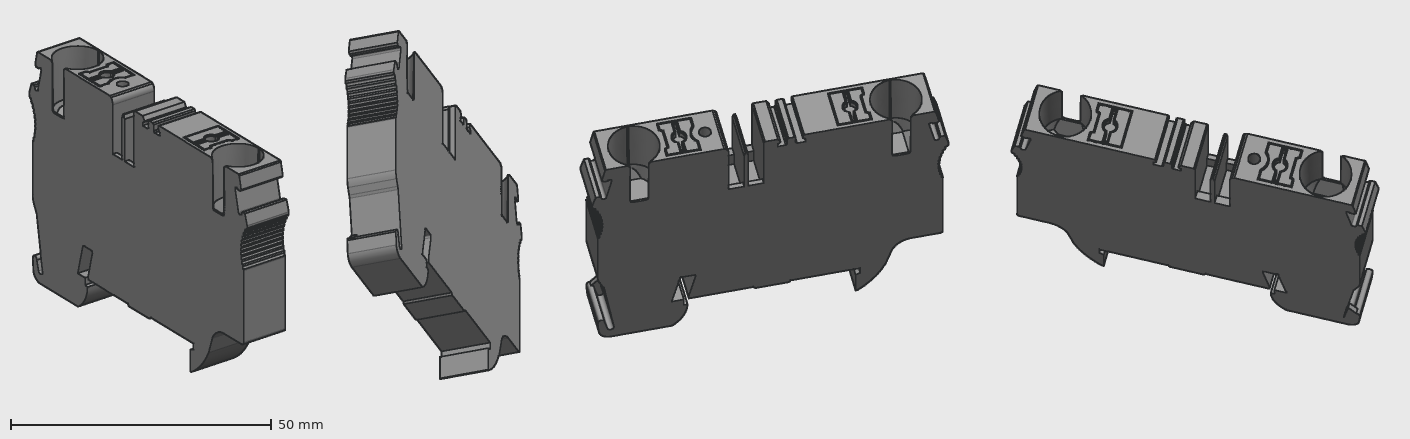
import cadquery as cq
import math


length = 70.25
thickness = 10.0
height = 49.5

half_length = length / 2
half_thickness = thickness / 2
front = -half_thickness
wall_x = 34.0
split_z = 21.1

nose_z = 46.1
hook_top_z = 41.85

grip_radius = 9.55
grip_waist_x = 33.3
grip_waist_z = 33.35
grip_top_z = 39.0
grip_bottom_z = 29.7
grip_grooves = 10
grip_groove_depth = 0.245
grip_land_share = 0.4

shaft_left = -8.2
shaft_right = -1.3
shaft_floor_z = 37.4
shaft_round = 1.55
fin_center = -4.8
fin_width = 0.85
fin_shoulder_z = 46.4
fin_top_z = 47.3
fin_tip_width = 0.3
pocket_y_min = -3.9
pocket_y_max = 3.3
pocket_depth = 2.8

marker_left = 2.05
marker_right = 6.4
marker_floor_z = 47.4
marker_lip_z = 48.6
marker_undercut_z = 48.05
marker_undercut = 0.55
ridge_left = 3.3
ridge_right = 5.0
ridge_top_z = 49.3
edge_chamfer = 0.3

entry_x = 25.81
entry_y = -0.315
entry_top_radius = 5.0
entry_radius = 4.8
entry_seam_width = 0.35
entry_seam_depth = 0.1
entry_slot_width = 3.65
entry_slot_wall = 0.4
entry_slot_round = 0.7
entry_slot_flare = 0.5
funnel_top_z = 38.5
funnel_floor_z = 35.8
funnel_floor_radius = 3.8
funnel_floor_outer = 2.05
funnel_floor_half_y = 2.705
funnel_floor_y = 0.105
funnel_outer_flare = 1.05

button_x = 16.85
button_width = 6.5
button_depth = 8.1
button_groove_width = 0.245
button_groove_depth = 0.35
notch_depth = 0.6
notch_half_y = 2.45
notch_slant = 0.35
key_radius = 1.5
key_slot_width = 1.1
key_slot_length = 7.15
key_ledge_width = 0.245
key_ledge_depth = 0.3
key_depth = 1.4

test_hole_x = -11.7
test_hole_radius = 1.16
test_hole_depth = 7.0
test_notch_radius = 2.75

rail_z = 7.15
pad_z = 6.75
spring_slot_top_z = 13.85
claw_shoulder_z = 13.35
claw_tip_x = 16.8
claw_tip_z = 0.8
catch_x = 17.7
toe_catch_x = -17.1
web_thickness = 1.05


def through(outline):
    """Extrude a closed XZ outline over the full thickness."""
    return outline.close().extrude(half_thickness, both=True)


def grip_x(z):
    """Distance of the concave grip arc from the middle at the given level."""
    arc_center_x = grip_waist_x + grip_radius
    return arc_center_x - math.sqrt(grip_radius ** 2 - (z - grip_waist_z) ** 2)


def add_grip(outline):
    """Continue the outline down the right-hand grip, scallop by scallop."""
    pitch = (grip_top_z - grip_bottom_z) / grip_grooves
    land = pitch * grip_land_share
    for i in range(grip_grooves):
        land_top_z = grip_top_z - i * pitch
        groove_top_z = land_top_z - land
        groove_bottom_z = land_top_z - pitch
        groove_mid_z = (groove_top_z + groove_bottom_z) / 2
        outline = (
            outline.lineTo(grip_x(groove_top_z), groove_top_z)
            .threePointArc(
                (grip_x(groove_mid_z) - grip_groove_depth, groove_mid_z),
                (grip_x(groove_bottom_z), groove_bottom_z),
            )
        )
    return outline


def upper_half():
    """Right half of the upper body, from the middle out to the hooked, gripped end."""
    outline = (
        cq.Workplane("XZ")
        .moveTo(0, split_z)
        .lineTo(0, height)
        .lineTo(32.4, height)
        .lineTo(32.6, height - edge_chamfer)
        .lineTo(33.2, 46.5)
        .lineTo(32.9, nose_z)
        .lineTo(32.0, nose_z)
        .threePointArc((31.7, 46.35), (31.25, 45.95))
        .lineTo(32.3, 41.4)
        .tangentArcPoint((33.3, 41.6), relative=False)
        .lineTo(33.6, hook_top_z)
        .lineTo(34.4, hook_top_z)
        .lineTo(half_length, 39.6)
        .lineTo(half_length, 39.2)
        .lineTo(grip_x(grip_top_z), grip_top_z)
    )
    outline = add_grip(outline).lineTo(wall_x, 29.5).lineTo(wall_x, split_z)
    return through(outline)


def foot():
    """Lower body with the sprung rail foot on the left and the fixed claw on the right."""
    outline = (
        cq.Workplane("XZ")
        .moveTo(-wall_x, split_z)
        .lineTo(-wall_x, 18.2)
        .threePointArc((-33.9, 17.3), (-33.65, 16.45))
        .lineTo(-33.0, 15.1)
        .lineTo(-32.7, 14.55)
        .lineTo(-30.85, 2.95)
        .threePointArc((-31.4, 2.1), (-32.1, 2.6))
        .lineTo(-32.65, 4.65)
        .threePointArc((-33.2, 5.35), (-33.85, 5.0))
        .lineTo(-wall_x, 4.6)
        .lineTo(-33.8, 1.8)
        .threePointArc((-33.1, 0.6), (-31.6, 0))
        .lineTo(-19.4, 0)
        .threePointArc((-17.5, 1.8), (-16.3, 5.5))
        .lineTo(toe_catch_x, 5.6)
        .lineTo(toe_catch_x, rail_z)
        .lineTo(-19.45, rail_z)
        .lineTo(-17.85, 13.55)
        .lineTo(-17.6, spring_slot_top_z)
        .lineTo(-15.1, spring_slot_top_z)
        .threePointArc((-14.8, 13.7), (-14.75, 13.35))
        .lineTo(-16.1, 7.95)
        .lineTo(-16.1, rail_z)
        .lineTo(-3.4, rail_z)
        .lineTo(-3.0, pad_z)
        .lineTo(3.65, pad_z)
        .lineTo(4.0, rail_z)
        .lineTo(catch_x, rail_z)
        .lineTo(catch_x, 5.75)
        .lineTo(claw_tip_x, 5.5)
        .lineTo(claw_tip_x, claw_tip_z)
        .lineTo(17.15, claw_tip_z)
        .threePointArc((20.3, 3.5), (22.75, 7.3))
        .lineTo(23.95, 10.9)
        .threePointArc((25.4, 12.65), (27.5, claw_shoulder_z))
        .lineTo(33.4, claw_shoulder_z)
        .threePointArc((33.85, 13.55), (wall_x, 14.05))
        .lineTo(wall_x, split_z)
    )
    return through(outline)


def foot_web():
    """Thin web on the back face that closes the release groove."""
    return (
        cq.Workplane("XZ", origin=(0, half_thickness, 0))
        .polyline([(-31.7, 6.9), (-33.3, 5.35), (-32.25, 1.75), (-30.7, 1.75)])
        .close()
        .extrude(web_thickness)
    )


def bridge_shaft():
    """Shaft cut from above, leaving a pointed fin and a deeper pocket between two rims."""
    shaft = through(
        cq.Workplane("XZ")
        .moveTo(shaft_left, shaft_floor_z)
        .lineTo(shaft_left, height - shaft_round)
        .threePointArc((shaft_left - 0.15, height - 0.7), (shaft_left - 0.5, height - 0.2))
        .lineTo(shaft_left - 0.9, height)
        .lineTo(shaft_right + edge_chamfer, height)
        .lineTo(shaft_right, height - edge_chamfer)
        .lineTo(shaft_right, shaft_floor_z)
    )
    pocket = cq.Workplane("XY").box(
        shaft_right - shaft_left,
        pocket_y_max - pocket_y_min,
        pocket_depth,
        centered=False,
    ).translate((shaft_left, pocket_y_min, shaft_floor_z - pocket_depth))
    fin = through(
        cq.Workplane("XZ")
        .moveTo(fin_center - fin_width / 2, shaft_floor_z - pocket_depth)
        .lineTo(fin_center - fin_width / 2, fin_shoulder_z)
        .lineTo(fin_center - fin_tip_width / 2, fin_top_z)
        .lineTo(fin_center + fin_tip_width / 2, fin_top_z)
        .lineTo(fin_center + fin_width / 2, fin_shoulder_z)
        .lineTo(fin_center + fin_width / 2, shaft_floor_z - pocket_depth)
    )
    return shaft.union(pocket).cut(fin)


def marker_groove():
    """Undercut snap-in groove, with its middle ridge left standing."""
    groove = through(
        cq.Workplane("XZ")
        .moveTo(marker_left - marker_undercut, height)
        .lineTo(marker_left, marker_lip_z)
        .lineTo(marker_left - marker_undercut, marker_undercut_z)
        .lineTo(marker_left - marker_undercut, marker_floor_z)
        .lineTo(marker_right + marker_undercut, marker_floor_z)
        .lineTo(marker_right + marker_undercut, marker_undercut_z)
        .lineTo(marker_right, marker_lip_z)
        .lineTo(marker_right + 0.1, height - 0.2)
        .lineTo(marker_right + edge_chamfer, height)
    )
    ridge = through(
        cq.Workplane("XZ")
        .moveTo(ridge_left - edge_chamfer, marker_floor_z)
        .lineTo(ridge_left, marker_floor_z + edge_chamfer)
        .lineTo(ridge_left, ridge_top_z - edge_chamfer)
        .lineTo(ridge_left + edge_chamfer, ridge_top_z)
        .lineTo(ridge_right - edge_chamfer, ridge_top_z)
        .lineTo(ridge_right, ridge_top_z - edge_chamfer)
        .lineTo(ridge_right, marker_floor_z + edge_chamfer)
        .lineTo(ridge_right + edge_chamfer, marker_floor_z)
    )
    return groove.cut(ridge)


def wire_entry():
    """Right-hand wire entry: tapered bore over a funnel with three flat sides."""
    bore_and_cone = (
        cq.Workplane("XZ")
        .moveTo(0, funnel_floor_z)
        .lineTo(funnel_floor_radius, funnel_floor_z)
        .lineTo(entry_radius, funnel_top_z)
        .lineTo(entry_top_radius, height)
        .lineTo(0, height)
        .close()
        .revolve(360, (0, 0, 0), (0, 1, 0))
        .translate((entry_x, entry_y, 0))
    )

    funnel_front = front + entry_slot_wall
    bore_back = entry_y + entry_top_radius
    clear_left = entry_x - 2 * entry_radius
    floor_right = entry_x + funnel_floor_outer
    top_right = entry_x + entry_radius + funnel_outer_flare
    floor_front = funnel_floor_y - funnel_floor_half_y
    floor_back = funnel_floor_y + funnel_floor_half_y
    floor_wire = cq.Wire.makePolygon([
        cq.Vector(clear_left, floor_front, funnel_floor_z),
        cq.Vector(floor_right, floor_front, funnel_floor_z),
        cq.Vector(floor_right, floor_back, funnel_floor_z),
        cq.Vector(clear_left, floor_back, funnel_floor_z),
    ], close=True)
    top_wire = cq.Wire.makePolygon([
        cq.Vector(clear_left, funnel_front, funnel_top_z),
        cq.Vector(top_right, funnel_front, funnel_top_z),
        cq.Vector(top_right, bore_back, funnel_top_z),
        cq.Vector(clear_left, bore_back, funnel_top_z),
    ], close=True)
    funnel = cq.Workplane(cq.Solid.makeLoft([floor_wire, top_wire], True))
    bore_space = (
        cq.Workplane("XY", origin=(entry_x, entry_y, funnel_top_z))
        .rect(3 * entry_radius, 3 * entry_radius)
        .extrude(height - funnel_top_z)
    )

    slot = (
        cq.Workplane("XZ", origin=(entry_x, funnel_front, 0))
        .moveTo(-entry_slot_width / 2, funnel_top_z)
        .lineTo(-entry_slot_width / 2, height - entry_slot_flare)
        .lineTo(-entry_slot_width / 2 - entry_slot_flare, height)
        .lineTo(entry_slot_width / 2 + entry_slot_flare, height)
        .lineTo(entry_slot_width / 2, height - entry_slot_flare)
        .lineTo(entry_slot_width / 2, funnel_top_z)
        .close()
        .extrude(entry_slot_wall)
        .faces("<Z")
        .edges("|Y")
        .fillet(entry_slot_round)
    )
    seam_middle_y = bore_back + entry_seam_depth - entry_radius / 2
    seam = (
        cq.Workplane("XY", origin=(entry_x, seam_middle_y, funnel_top_z))
        .rect(entry_seam_width, entry_radius)
        .extrude(height - funnel_top_z)
    )
    return bore_and_cone.intersect(funnel.union(bore_space)).union(slot).union(seam)


def right_button(offset):
    """Right button face, grown by the offset, with its notch towards the block end."""
    x = button_width / 2
    y = button_depth / 2
    return (
        cq.Workplane("XY", origin=(button_x, 0, height))
        .polyline([
            (-x, -y),
            (x, -y),
            (x, -notch_half_y),
            (x - notch_depth, -notch_half_y + notch_slant),
            (x - notch_depth, notch_half_y - notch_slant),
            (x, notch_half_y),
            (x, y),
            (-x, y),
        ])
        .close()
        .offset2D(offset, "intersection")
        .extrude(-button_groove_depth)
    )


def left_button(offset):
    """Mirror image of the right button, also cut back around the test hole."""
    test_notch = (
        cq.Workplane("XY", origin=(test_hole_x, 0, height))
        .circle(test_notch_radius - offset)
        .extrude(-button_groove_depth)
    )
    return right_button(offset).mirror("YZ").cut(test_notch)


def keyhole(ledge, depth):
    """Round hole with a slot across it, shrunk by the ledge width all round."""
    hole = cq.Workplane("XY").circle(key_radius - ledge).extrude(-depth)
    slot = (
        cq.Workplane("XY")
        .rect(key_slot_width - 2 * ledge, key_slot_length - 2 * ledge)
        .extrude(-depth)
    )
    return hole.union(slot)


def release_button_cuts():
    """Both outline grooves and both stepped keyholes."""
    half_groove = button_groove_width / 2
    recess = keyhole(0, key_ledge_depth).union(keyhole(key_ledge_width, key_depth))
    cuts = [button(half_groove).cut(button(-half_groove)) for button in (left_button, right_button)]
    cuts += [recess.translate((x, 0, height)) for x in (-button_x, button_x)]
    return cuts


def test_hole():
    """Blind round hole in the top face."""
    return (
        cq.Workplane("XY", origin=(test_hole_x, 0, height))
        .circle(test_hole_radius)
        .extrude(-test_hole_depth)
    )


right_half = upper_half()
body = right_half.union(right_half.mirror("YZ")).union(foot()).union(foot_web())

cutters = [bridge_shaft(), marker_groove(), test_hole()]
cutters += release_button_cuts()
right_entry = wire_entry()
cutters += [right_entry, right_entry.mirror("YZ")]
for cutter in cutters:
    body = body.cut(cutter)

result = body.clean()